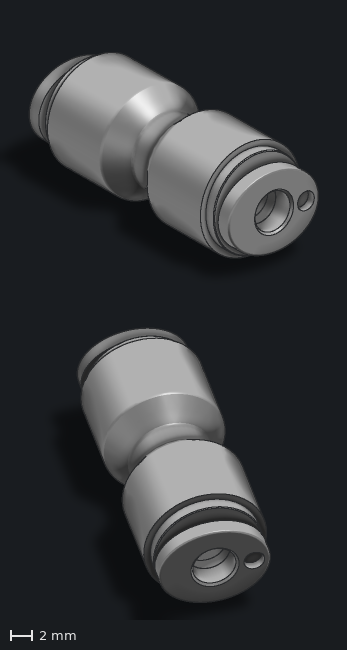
import cadquery as cq

OVERALL_LENGTH = 30.2

HOUSING_LENGTH = 23.0
HOUSING_DIAMETER = 11.9
WAIST_DIAMETER = 8.0
WAIST_LENGTH = 2.15
SHOULDER_SPACING = 7.0
WAIST_FILLET = 0.5
TUBE_SOCKET_DIAMETER = 4.2
TUBE_STOP_BORE = 3.2

COLLAR_DIAMETER = 10.6
COLLAR_LENGTH = 1.2
COLLAR_CHAMFER = 0.1

NECK_DIAMETER = 5.5
SLEEVE_BORE = 4.17
BORE_ENTRY_CHAMFER = 0.25
FLANGE_WIDTH = 10.8
FLANGE_HEIGHT = 8.6
FLANGE_THICKNESS = 1.6
FLANGE_FILLET = 0.2
DIMPLE_DIAMETER = 2.0
DIMPLE_OFFSET = 3.8
DIMPLE_DEPTH = 0.9

TUBE_STOP_FACE = WAIST_LENGTH / 2
HOUSING_END = HOUSING_LENGTH / 2
COLLAR_END = HOUSING_END + COLLAR_LENGTH
SLEEVE_END = OVERALL_LENGTH / 2
FLANGE_BACK = SLEEVE_END - FLANGE_THICKNESS


def cylinder(diameter, start, end):
    """Solid cylinder on the X axis between two X positions."""
    return cq.Workplane("YZ", origin=(start, 0, 0)).circle(diameter / 2).extrude(end - start)


def make_housing_blank():
    """Solid waisted body with rounded edges on the waist cones."""
    outer = HOUSING_DIAMETER / 2
    waist = WAIST_DIAMETER / 2
    shoulder_x = SHOULDER_SPACING / 2
    waist_x = WAIST_LENGTH / 2
    blank = (
        cq.Workplane("XZ")
        .moveTo(-HOUSING_END, 0)
        .lineTo(-HOUSING_END, outer)
        .lineTo(-shoulder_x, outer)
        .lineTo(-waist_x, waist)
        .lineTo(waist_x, waist)
        .lineTo(shoulder_x, outer)
        .lineTo(HOUSING_END, outer)
        .lineTo(HOUSING_END, 0)
        .close()
        .revolve(360, (0, 0, 0), (1, 0, 0))
    )
    box_reach = shoulder_x + WAIST_FILLET
    cone_edges = cq.selectors.BoxSelector(
        (-box_reach, -outer, -outer),
        (box_reach, outer, outer),
    )
    return blank.edges("%CIRCLE").edges(cone_edges).fillet(WAIST_FILLET)


def make_housing():
    """Waisted body with a tube socket in each end and a narrower bore through the tube stop."""
    body = make_housing_blank().cut(cylinder(TUBE_STOP_BORE, -HOUSING_END, HOUSING_END))
    for side in (-1, 1):
        body = body.cut(cylinder(TUBE_SOCKET_DIAMETER, side * TUBE_STOP_FACE, side * HOUSING_END))
    return body


def make_collar():
    """Ring on the +X end of the housing, with the same bore as the tube socket."""
    ring = cylinder(COLLAR_DIAMETER, HOUSING_END, COLLAR_END).faces(">X").chamfer(COLLAR_CHAMFER)
    return ring.cut(cylinder(TUBE_SOCKET_DIAMETER, HOUSING_END, COLLAR_END))


def make_sleeve():
    """Release sleeve for the +X end, with a round dimple beside its bore."""
    flange = (
        cq.Workplane("YZ", origin=(FLANGE_BACK, 0, 0))
        .ellipse(FLANGE_WIDTH / 2, FLANGE_HEIGHT / 2)
        .extrude(FLANGE_THICKNESS)
        .faces(">X")
        .edges()
        .fillet(FLANGE_FILLET)
    )
    sleeve = flange.union(cylinder(NECK_DIAMETER, COLLAR_END, FLANGE_BACK))
    sleeve = sleeve.cut(cylinder(SLEEVE_BORE, COLLAR_END, SLEEVE_END))
    sleeve = sleeve.faces(">X").edges("%CIRCLE").chamfer(BORE_ENTRY_CHAMFER)
    dimple = cylinder(DIMPLE_DIAMETER, SLEEVE_END - DIMPLE_DEPTH, SLEEVE_END)
    return sleeve.cut(dimple.translate((0, DIMPLE_OFFSET, 0)))


def at_both_ends(make_body):
    """Two solids: one at the +X end and one turned half round Z to the -X end."""
    return [make_body().rotate((0, 0, 0), (0, 0, 1), turn).val() for turn in (0, 180)]


housing = make_housing()
collars = at_both_ends(make_collar)
sleeves = at_both_ends(make_sleeve)

result = cq.Compound.makeCompound([housing.val(), *collars, *sleeves])